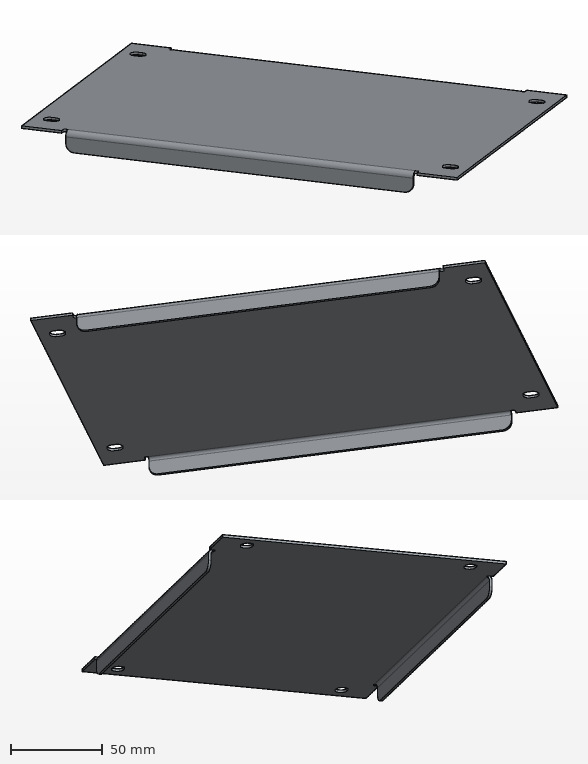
import cadquery as cq

length = 256.0
width = 162.5
height = 12.0
thickness = 1.5

flange_length = 204.3
flange_corner_radius = 5.0
bend_inner_radius = 1.8
bend_outer_radius = bend_inner_radius + thickness

relief_width = 2.3
relief_depth = bend_outer_radius

slot_length = 9.0
slot_width = 6.5
slot_spacing_x = 234.5
slot_spacing_y = 128.0


def make_plate():
    """Flat sheet with its top face at Z = 0."""
    return cq.Workplane("XY").box(length, width, thickness, centered=(True, True, False)).translate(
        (0, 0, -thickness)
    )


def make_edge_opening(side):
    """Cutter clearing the bend and its round-ended reliefs; side is +1 or -1 in Y."""
    edge_y = side * width / 2
    bend_line_y = edge_y - side * relief_depth
    half_flange = flange_length / 2
    half_opening = half_flange + relief_width
    relief_radius = relief_width / 2
    relief_middle_x = half_flange + relief_radius
    round_start_y = bend_line_y + side * relief_radius
    return (
        cq.Workplane("XY")
        .moveTo(-half_opening, edge_y)
        .lineTo(-half_opening, round_start_y)
        .threePointArc((-relief_middle_x, bend_line_y), (-half_flange, round_start_y))
        .lineTo(-half_flange, bend_line_y)
        .lineTo(half_flange, bend_line_y)
        .lineTo(half_flange, round_start_y)
        .threePointArc((relief_middle_x, bend_line_y), (half_opening, round_start_y))
        .lineTo(half_opening, edge_y)
        .close()
        .extrude(-thickness)
    )


def make_flange():
    """Bend and flange on the -Y edge, with rounded lower corners."""
    outer_y = -width / 2
    inner_y = outer_y + thickness
    bend_y = outer_y + bend_outer_radius
    diagonal = 0.5 ** 0.5
    outer_mid = (bend_y - bend_outer_radius * diagonal, -bend_outer_radius * (1 - diagonal))
    inner_mid = (
        bend_y - bend_inner_radius * diagonal,
        -bend_outer_radius + bend_inner_radius * diagonal,
    )
    return (
        cq.Workplane("YZ", origin=(-flange_length / 2, 0, 0))
        .moveTo(bend_y, 0)
        .threePointArc(outer_mid, (outer_y, -bend_outer_radius))
        .lineTo(outer_y, -height)
        .lineTo(inner_y, -height)
        .lineTo(inner_y, -bend_outer_radius)
        .threePointArc(inner_mid, (bend_y, -thickness))
        .close()
        .extrude(flange_length)
        .faces("<Z")
        .edges("|Y")
        .fillet(flange_corner_radius)
    )


def make_slots():
    """Four corner slot cutters."""
    return (
        cq.Workplane("XY")
        .rect(slot_spacing_x, slot_spacing_y, forConstruction=True)
        .vertices()
        .slot2D(slot_length, slot_width)
        .extrude(-thickness)
    )


plate = make_plate().cut(make_slots())
for side in (-1, 1):
    plate = plate.cut(make_edge_opening(side))

flange = make_flange()
result = plate.union(flange).union(flange.mirror("XZ"))